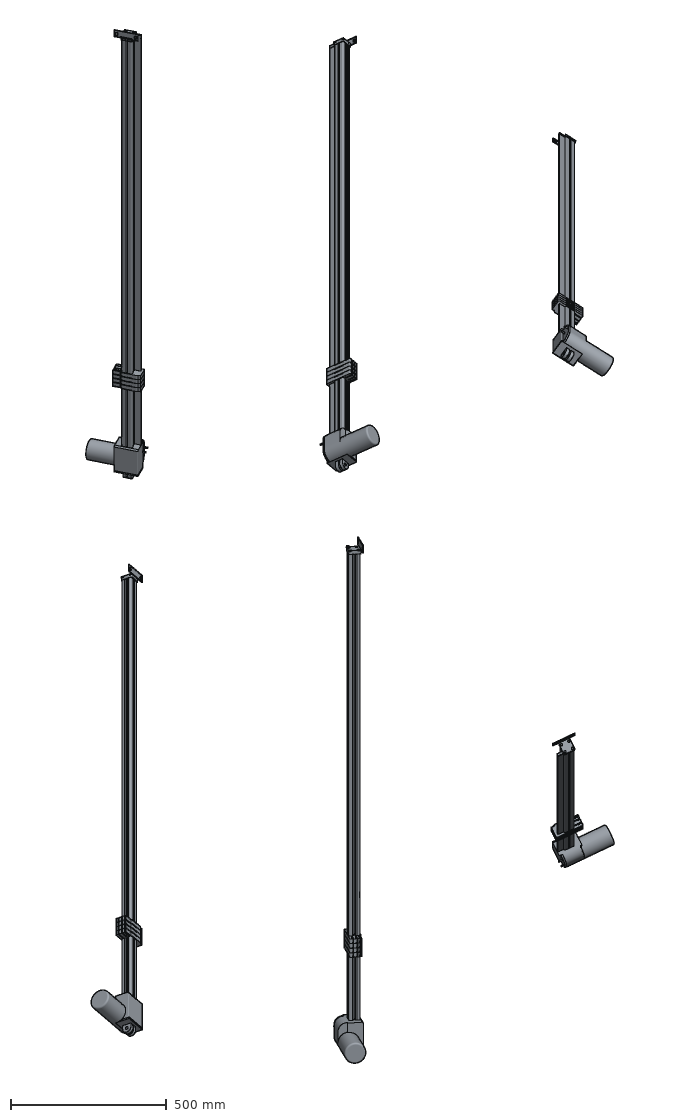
import cadquery as cq

OVERALL_X = 190.5
OVERALL_Y = 82.72
OVERALL_Z = 1762.05

BLOCK_HALF_WIDTH = 40.5
BLOCK_CORNER = 2.2
BLOCK_TOP_CHAMFER = 4.7
FRONT_Y = -24.8
BACK_Y = FRONT_Y + OVERALL_Y
BLOCK_BACK_Y = 27.0
BASE_BOTTOM_Z = 29.2
BASE_TOP_Z = 34.5
BLOCK_TOP_Z = 131.6
BASE_INSET = 0.3

HOUSING_HALF_WIDTH = 34.5
HOUSING_TOP_RADIUS = 28.8
COVER_THICKNESS = 5.5
COVER_INSET = 1.0

PIN_DIAMETER = 4.98
PIN_TIP_X = 46.5
PIN_PLACES = [(53.0, 91.5), (35.0, 85.5)]

MOTOR_DIAMETER = 69.85
MOTOR_END_ROUND = 5.8

LUG_Y = 0.9
LUG_RADIUS = 16.0
LUG_WIDTH = 28.6
LUG_SLOT_WIDTH = 5.0
LUG_HOLE_DIAMETER = 9.53

TUBE_SIDE = 36.9
TUBE_CORNER = 4.9
TUBE_TOP_Z = 1726.5
FRONT_GROOVE_WIDTH = 5.0
FRONT_GROOVE_DEPTH = 2.5
SIDE_SLOT_WIDTH = 5.0
SIDE_GROOVE_WIDTH = 15.0
SIDE_GROOVE_DEPTH = 1.5
RAIL_END_X = 39.3
RAIL_FRONT_Y = 7.0

SLEEVE_HALF_DEPTH = 21.0
SLEEVE_LEFT_X = -20.0
SLEEVE_RIGHT_X = 40.2
SLEEVE_CORNER = 7.4

CARRIAGE_WIDTH = 95.25
CARRIAGE_BOTTOM_Z = 358.5
CARRIAGE_PLATES = 4
PLATE_PITCH = 15.875
PLATE_GAP = 0.6
WING_FRONT_Y = -17.5
WING_CORNER = 3.0
WING_SLOT_DEPTH = 24.0
WING_SLOT_WIDTH = 3.0
WING_SLOT_CENTERS_Y = [10.7, -2.6, -12.6]

CAP_TOP_Z = 1736.5
CAP_SIDE = 39.6
CAP_FRONT_Y = -21.6
CAP_CORNER = 5.0
RAIL_CAP_END_X = 40.2
RAIL_CAP_CORNER = 2.2
BRACKET_THICKNESS = 3.1
BRACKET_HALF_WIDTH = 40.0
EAR_HOLE_DIAMETER = 10.0
EAR_HOLE_X = 32.5
EAR_HOLE_Z = 1748.0
CAP_HOLE_DIAMETER = 7.0
CAP_HOLE_OFFSET = 13.0

MOTOR_RADIUS = MOTOR_DIAMETER / 2
MOTOR_Y = BACK_Y - MOTOR_RADIUS
MOTOR_Z = BASE_BOTTOM_Z + MOTOR_RADIUS
MOTOR_END_X = CARRIAGE_WIDTH / 2 - OVERALL_X


def box(x0, x1, y0, y1, z0, z1):
    """Box between the given limits."""
    return cq.Workplane("XY").box(x1 - x0, y1 - y0, z1 - z0, centered=False).translate((x0, y0, z0))


def x_cylinder(diameter, x0, x1, y, z):
    """Cylinder along X."""
    return cq.Workplane("YZ", origin=(x0, y, z)).circle(diameter / 2).extrude(x1 - x0)


def make_gearbox_block():
    """Block with a sloped top front edge, on a base plate with a slightly smaller outline."""
    half = BLOCK_HALF_WIDTH
    block = box(-half, half, FRONT_Y, BLOCK_BACK_Y, BASE_TOP_Z, BLOCK_TOP_Z)
    block = block.edges("<Y and >Z").chamfer(BLOCK_TOP_CHAMFER)
    block = block.edges("|Z").fillet(BLOCK_CORNER)
    half -= BASE_INSET
    base = box(-half, half, FRONT_Y + BASE_INSET, BLOCK_BACK_Y, BASE_BOTTOM_Z, BASE_TOP_Z)
    return block.union(base)


def housing_outline(x):
    """Outline of the drive housing: a rounded top, a straight back and a bottom around the motor axis."""
    top_center_y = BACK_Y - HOUSING_TOP_RADIUS
    top_center_z = BLOCK_TOP_Z - HOUSING_TOP_RADIUS
    return (
        cq.Workplane("YZ", origin=(x, 0, 0))
        .moveTo(0, BASE_BOTTOM_Z)
        .lineTo(MOTOR_Y, BASE_BOTTOM_Z)
        .radiusArc((BACK_Y, MOTOR_Z), -MOTOR_RADIUS)
        .lineTo(BACK_Y, top_center_z)
        .radiusArc((top_center_y, BLOCK_TOP_Z), -HOUSING_TOP_RADIUS)
        .lineTo(0, BLOCK_TOP_Z)
        .close()
    )


def make_housing():
    """Drive housing with an inset cover on its +X side and two pins standing on the cover."""
    cover_x = HOUSING_HALF_WIDTH - COVER_THICKNESS
    housing = housing_outline(-HOUSING_HALF_WIDTH).extrude(HOUSING_HALF_WIDTH + cover_x)
    cover = housing_outline(cover_x).offset2D(-COVER_INSET).extrude(COVER_THICKNESS)
    housing = housing.union(cover)
    for y, z in PIN_PLACES:
        housing = housing.union(x_cylinder(PIN_DIAMETER, cover_x, PIN_TIP_X, y, z))
    return housing


def make_motor():
    """Round motor on the -X side, rounded at its free end."""
    motor = x_cylinder(MOTOR_DIAMETER, MOTOR_END_X, 0, MOTOR_Y, MOTOR_Z)
    return motor.faces("<X").edges().fillet(MOTOR_END_ROUND)


def make_lug():
    """Rounded mounting lug under the gearbox, split by a slot and cross-drilled."""
    half = LUG_WIDTH / 2
    front_y = LUG_Y - LUG_RADIUS
    back_y = LUG_Y + LUG_RADIUS
    lug = x_cylinder(2 * LUG_RADIUS, -half, half, LUG_Y, LUG_RADIUS)
    lug = lug.union(box(-half, half, front_y, back_y, LUG_RADIUS, BASE_BOTTOM_Z))
    slot_half = LUG_SLOT_WIDTH / 2
    lug = lug.cut(box(-slot_half, slot_half, front_y, back_y, 0, BASE_BOTTOM_Z))
    return lug.cut(x_cylinder(LUG_HOLE_DIAMETER, -half, half, LUG_Y, LUG_RADIUS))


def make_tube():
    """Square tube with a rail beside it, slotted through along X and grooved on its outer faces."""
    half = TUBE_SIDE / 2
    tube = box(-half, half, -half, half, BLOCK_TOP_Z, TUBE_TOP_Z).edges("|Z").fillet(TUBE_CORNER)
    tube = tube.union(box(0, RAIL_END_X, RAIL_FRONT_Y, half - TUBE_CORNER, BLOCK_TOP_Z, TUBE_TOP_Z))
    groove_half = FRONT_GROOVE_WIDTH / 2
    floor_y = half - FRONT_GROOVE_DEPTH
    for y0, y1 in [(-half, -floor_y), (floor_y, half)]:
        tube = tube.cut(box(-groove_half, groove_half, y0, y1, BLOCK_TOP_Z, TUBE_TOP_Z))
    slot_half = SIDE_SLOT_WIDTH / 2
    tube = tube.cut(box(-half, half, -slot_half, slot_half, BLOCK_TOP_Z, TUBE_TOP_Z))
    recess_half = SIDE_GROOVE_WIDTH / 2
    recess_x = SIDE_GROOVE_DEPTH - half
    return tube.cut(box(-half, recess_x, -recess_half, recess_half, BLOCK_TOP_Z, TUBE_TOP_Z))


def make_carriage_plate(bottom_z):
    """One carriage plate: a rounded sleeve, a slotted wing at -X and a short plain one at +X."""
    top_z = bottom_z + PLATE_PITCH - PLATE_GAP
    depth = SLEEVE_HALF_DEPTH
    half = CARRIAGE_WIDTH / 2
    sleeve = box(SLEEVE_LEFT_X, SLEEVE_RIGHT_X, -depth, depth, bottom_z, top_z)
    sleeve = sleeve.edges("|Z").fillet(SLEEVE_CORNER)
    wings = box(-half, half, WING_FRONT_Y, depth, bottom_z, top_z)
    wings = wings.edges("|Z and >Y").fillet(WING_CORNER)
    for y in WING_SLOT_CENTERS_Y:
        y0 = y - WING_SLOT_WIDTH / 2
        wings = wings.cut(box(-half, WING_SLOT_DEPTH - half, y0, y0 + WING_SLOT_WIDTH, bottom_z, top_z))
    return sleeve.union(wings)


def make_cap():
    """End cap over the tube and the rail."""
    half = CAP_SIDE / 2
    cap = box(-half, half, CAP_FRONT_Y, half, TUBE_TOP_Z, CAP_TOP_Z).edges("|Z").fillet(CAP_CORNER)
    rail_cap_back_y = half - CAP_CORNER
    rail_cap = box(0, RAIL_CAP_END_X, RAIL_FRONT_Y, rail_cap_back_y, TUBE_TOP_Z, CAP_TOP_Z)
    return cap.union(rail_cap.edges("|Z and >X").fillet(RAIL_CAP_CORNER))


def make_bracket():
    """Angle bracket on the cap: a flat plate with four holes and an upright plate with two."""
    plate_top_z = CAP_TOP_Z + BRACKET_THICKNESS
    half = CAP_SIDE / 2
    plate = box(-half, half, FRONT_Y, half, CAP_TOP_Z, plate_top_z)
    plate = plate.cut(
        cq.Workplane("XY", origin=(0, 0, CAP_TOP_Z))
        .rect(2 * CAP_HOLE_OFFSET, 2 * CAP_HOLE_OFFSET, forConstruction=True)
        .vertices()
        .circle(CAP_HOLE_DIAMETER / 2)
        .extrude(BRACKET_THICKNESS)
    )
    upright_back_y = FRONT_Y + BRACKET_THICKNESS
    upright = box(-BRACKET_HALF_WIDTH, BRACKET_HALF_WIDTH, FRONT_Y, upright_back_y, CAP_TOP_Z, OVERALL_Z)
    holes = (
        cq.Workplane("XZ", origin=(0, upright_back_y, EAR_HOLE_Z))
        .pushPoints([(-EAR_HOLE_X, 0), (EAR_HOLE_X, 0)])
        .circle(EAR_HOLE_DIAMETER / 2)
        .extrude(BRACKET_THICKNESS)
    )
    return plate.union(upright.cut(holes))


result = make_gearbox_block()
for make_part in (make_housing, make_motor, make_lug, make_tube, make_cap, make_bracket):
    result = result.union(make_part())
for plate_index in range(CARRIAGE_PLATES):
    result = result.union(make_carriage_plate(CARRIAGE_BOTTOM_Z + plate_index * PLATE_PITCH))